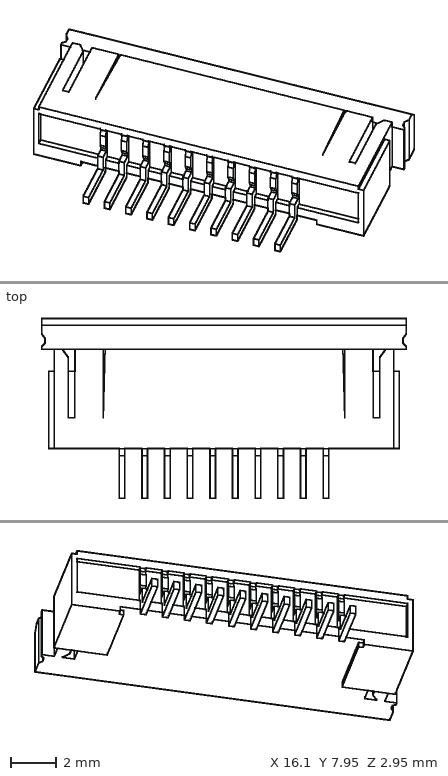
import cadquery as cq


core_width = 15.0
core_depth = 4.38
top_z = 2.95
underside_z = 0.24
shoulder_width = 15.49
shoulder_depth = 3.41
shoulder_top_z = 2.77

foot_inner_x = 5.33
foot_front_step_x = 5.54
foot_front_step_depth = 0.24

recess_bottom_z = 0.72
recess_top_z = 2.53
recess_depth = 0.24

arm_slot_inner_x = 6.58
arm_slot_width = 0.29
slot_end_y = 1.35
arm_chamfer_x = 0.25
arm_chamfer_y = 0.35
slit_x = 5.33
slit_mouth = 0.08

slider_width = 16.1
slider_back_y = 5.75
slider_top_z = 2.65
slider_chamfer = 0.3
notch_depth = 0.15
notch_front_y = 4.5
notch_back_y = 5.05
notch_front_slope = 0.15
notch_back_slope = 0.2

pin_count = 10
pin_row_length = 9.0
pin_width = 0.25
pin_tip_y = -2.2
pin_foot_thickness = 0.4
riser_thickness = 0.32
riser_top_z = 1.18
waist_y = 0.11
head_root_z = 1.3
head_front_bottom_z = 1.55
head_front_top_z = 2.14
head_tip_z = 2.38
hook_z = 2.48

pin_pitch = pin_row_length / (pin_count - 1)


def block(width, y_range, z_range):
    """Box centred on X = 0 between the given Y and Z limits."""
    y0, y1 = y_range
    z0, z1 = z_range
    return cq.Workplane("XY", origin=(0, y0, z0)).box(
        width, y1 - y0, z1 - z0, centered=(True, False, False)
    )


def prism(points, z_range):
    """Extrude an XY outline between two heights."""
    z0, z1 = z_range
    return cq.Workplane("XY").workplane(offset=z0).polyline(points).close().extrude(z1 - z0)


def both_sides(solid):
    return solid.union(solid.mirror("YZ"))


def make_housing():
    core = block(core_width, (0, core_depth), (underside_z, top_z))
    shoulders = block(shoulder_width, (0, shoulder_depth), (0, shoulder_top_z))
    foot_gap = block(2 * foot_inner_x, (0, shoulder_depth), (0, underside_z))
    front_gap = block(2 * foot_front_step_x, (0, foot_front_step_depth), (0, underside_z))
    recess = block(core_width, (0, recess_depth), (recess_bottom_z, recess_top_z))
    return core.union(shoulders).cut(foot_gap).cut(front_gap).cut(recess)


def make_arm_slots():
    """Slots that free the side latch arms, flared at the rear end of each arm."""
    outer_x = arm_slot_inner_x + arm_slot_width
    outline = [
        (arm_slot_inner_x, slot_end_y),
        (outer_x, slot_end_y),
        (outer_x, core_depth - arm_chamfer_y),
        (outer_x + arm_chamfer_x, core_depth),
        (arm_slot_inner_x, core_depth),
    ]
    return both_sides(prism(outline, (underside_z, top_z)))


def make_slits():
    """Thin tapered slits either side of the central top tongue."""
    outline = [
        (slit_x, slot_end_y),
        (slit_x, core_depth),
        (slit_x - slit_mouth, core_depth),
    ]
    return both_sides(prism(outline, (recess_top_z, top_z)))


def make_slider():
    bar = block(slider_width, (core_depth, slider_back_y), (underside_z, slider_top_z))
    bar = bar.edges(">Y and >Z").chamfer(slider_chamfer)
    side_x = slider_width / 2
    floor_x = side_x - notch_depth
    notch = prism(
        [
            (side_x, notch_front_y),
            (floor_x, notch_front_y + notch_front_slope),
            (floor_x, notch_back_y - notch_back_slope),
            (side_x, notch_back_y),
        ],
        (underside_z, slider_top_z),
    )
    return bar.cut(both_sides(notch))


def make_pin(x):
    """Contact with a solder foot, a riser and a bulged head inside the front recess."""
    profile = [
        (0, 0),
        (pin_tip_y, 0),
        (pin_tip_y, pin_foot_thickness),
        (-riser_thickness, pin_foot_thickness),
        (-riser_thickness, riser_top_z),
        (waist_y, riser_top_z),
        (waist_y, head_root_z),
        (0, head_front_bottom_z),
        (0, head_front_top_z),
        (waist_y, head_tip_z),
        (0, hook_z),
        (0, recess_top_z),
        (recess_depth, recess_top_z),
        (recess_depth, underside_z),
        (0, underside_z),
    ]
    plane = cq.Workplane("YZ", origin=(x - pin_width / 2, 0, 0))
    return plane.polyline(profile).close().extrude(pin_width)


result = make_housing().cut(make_arm_slots()).cut(make_slits()).union(make_slider())
for index in range(pin_count):
    result = result.union(make_pin(index * pin_pitch - pin_row_length / 2))